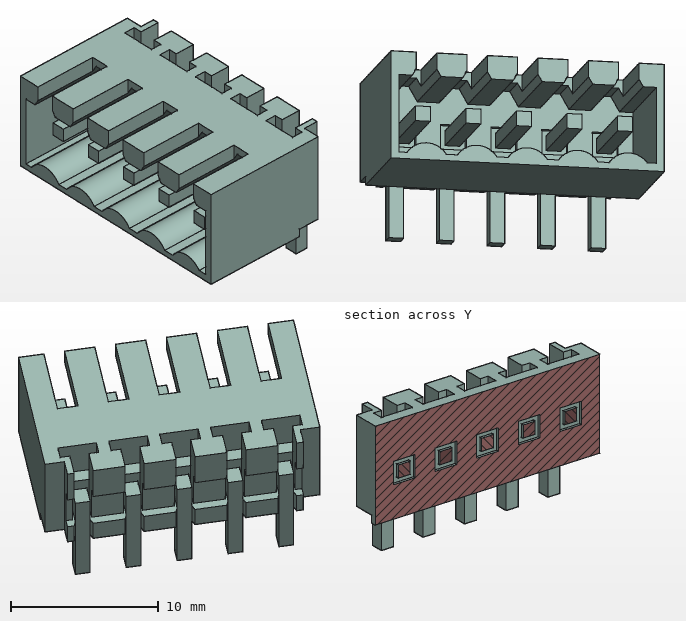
import cadquery as cq


PIN_COUNT = 5
PITCH = 3.5
PIN_CENTRES = [(i - (PIN_COUNT - 1) / 2) * PITCH for i in range(PIN_COUNT)]

WIDTH = 18.9
DEPTH = 11.05
HEIGHT = 7.45
REAR_STEP_DEPTH = 2.87
REAR_STEP_HEIGHT = 0.6
REAR_CORNER_WIDTH = 1.35
REAR_CORNER_DEPTH = 1.15

SIDE_WALL = 0.55
FLOOR = 0.43
CEILING = 5.82
CAVITY_DEPTH = 7.56
END_FLOOR_RISE = 0.11
BUMP_WIDTH = 2.72
BUMP_HEIGHT = 0.74
KEYWAY_TOP = 6.86
KEYWAY_TOP_WIDTH = 0.77
KEYWAY_BOTTOM_WIDTH = 1.98
KEY_SLOT_WIDTH = 1.42
KEY_SLOT_LENGTH = 5.07
RECESS_WIDTH = 1.78
RECESS_HEIGHT = 1.72
RECESS_DEPTH = 0.38

PIN_SIZE = 1.02
PIN_TOP = 3.99
PIN_FRONT = 1.21
PIN_BACK = DEPTH - 0.35
LEG_LENGTH = 3.2
PIN_AXIS = PIN_TOP - PIN_SIZE / 2
LEG_FRONT = PIN_BACK - PIN_SIZE

REAR_GROOVE_BOTTOM = 2.14
REAR_GROOVE_TOP = 4.84
REAR_GROOVE_DEPTH = 0.57
REAR_SLOT_WIDTH = 1.3
REAR_SLOT_DEPTH = 1.59
CROSS_SLOT_WIDTH = 2.65
CROSS_SLOT_LENGTH = 0.87


def box(x_centre, x_size, y_min, y_max, z_min, z_max):
    """Block centred on x_centre that fills the given Y and Z ranges."""
    size_y = y_max - y_min
    size_z = z_max - z_min
    block = cq.Workplane("XY").box(x_size, size_y, size_z, centered=(True, False, False))
    return block.translate((x_centre, y_min, z_min))


def make_shell():
    """Outer block with the stepped underside and the cut-away rear corners."""
    shell = box(0, WIDTH, 0, DEPTH, 0, HEIGHT)
    shell = shell.cut(box(0, WIDTH, DEPTH - REAR_STEP_DEPTH, DEPTH, 0, REAR_STEP_HEIGHT))
    corner_x = (WIDTH - REAR_CORNER_WIDTH) / 2
    for side in (-1, 1):
        shell = shell.cut(
            box(side * corner_x, REAR_CORNER_WIDTH, DEPTH - REAR_CORNER_DEPTH, DEPTH, 0, HEIGHT)
        )
    groove_front = DEPTH - REAR_GROOVE_DEPTH
    return shell.cut(box(0, WIDTH, groove_front, DEPTH, REAR_GROOVE_BOTTOM, REAR_GROOVE_TOP))


def floor_bump(x):
    """Rounded rib along the cavity floor under one pin."""
    return (
        cq.Workplane("XZ")
        .moveTo(x - BUMP_WIDTH / 2, FLOOR)
        .threePointArc((x, FLOOR + BUMP_HEIGHT), (x + BUMP_WIDTH / 2, FLOOR))
        .close()
        .extrude(-CAVITY_DEPTH)
    )


def end_floor_strip():
    """Slightly raised strip of floor between the last bump and the +X side wall."""
    x_min = PIN_CENTRES[-1]
    x_max = WIDTH / 2 - SIDE_WALL
    x_centre = (x_min + x_max) / 2
    return box(x_centre, x_max - x_min, 0, CAVITY_DEPTH, FLOOR, FLOOR + END_FLOOR_RISE)


def keyway(x):
    """Tapered groove in the cavity roof above one pin."""
    return (
        cq.Workplane("XZ")
        .moveTo(x - KEYWAY_BOTTOM_WIDTH / 2, CEILING)
        .lineTo(x - KEYWAY_TOP_WIDTH / 2, KEYWAY_TOP)
        .lineTo(x + KEYWAY_TOP_WIDTH / 2, KEYWAY_TOP)
        .lineTo(x + KEYWAY_BOTTOM_WIDTH / 2, CEILING)
        .close()
        .extrude(-CAVITY_DEPTH)
    )


def make_cavity():
    """Space that receives the plug, with its keyways, roof slots and pin recesses."""
    cavity = box(0, WIDTH - 2 * SIDE_WALL, 0, CAVITY_DEPTH, FLOOR, CEILING)
    cavity = cavity.cut(end_floor_strip())
    for x in PIN_CENTRES:
        cavity = cavity.cut(floor_bump(x)).union(keyway(x))
        cavity = cavity.union(box(x, KEY_SLOT_WIDTH, 0, KEY_SLOT_LENGTH, CEILING, HEIGHT))
        recess_bottom = PIN_AXIS - RECESS_HEIGHT / 2
        cavity = cavity.union(
            box(
                x, RECESS_WIDTH,
                CAVITY_DEPTH, CAVITY_DEPTH + RECESS_DEPTH,
                recess_bottom, recess_bottom + RECESS_HEIGHT,
            )
        )
    return cavity


def rear_opening(x):
    """T-shaped pocket at the back over one pin, and the flared slot that guides its leg."""
    slot_front = DEPTH - REAR_SLOT_DEPTH
    slot = box(x, REAR_SLOT_WIDTH, slot_front, DEPTH, REAR_GROOVE_BOTTOM, HEIGHT)
    cross_slot = box(
        x, CROSS_SLOT_WIDTH, slot_front - CROSS_SLOT_LENGTH, slot_front, REAR_GROOVE_TOP, HEIGHT
    )
    leg_slot = (
        cq.Workplane("XY")
        .moveTo(x - PIN_SIZE / 2, LEG_FRONT)
        .lineTo(x - PIN_SIZE / 2, PIN_BACK)
        .lineTo(x - REAR_SLOT_WIDTH / 2, DEPTH)
        .lineTo(x + REAR_SLOT_WIDTH / 2, DEPTH)
        .lineTo(x + PIN_SIZE / 2, PIN_BACK)
        .lineTo(x + PIN_SIZE / 2, LEG_FRONT)
        .close()
        .extrude(REAR_GROOVE_BOTTOM)
    )
    return slot.union(cross_slot).union(leg_slot)


def make_pin(x):
    """Square bent pin: a contact along Y and a solder leg down its back end."""
    contact = box(x, PIN_SIZE, PIN_FRONT, PIN_BACK, PIN_TOP - PIN_SIZE, PIN_TOP)
    leg = box(x, PIN_SIZE, LEG_FRONT, PIN_BACK, -LEG_LENGTH, PIN_TOP)
    return contact.union(leg)


def make_housing():
    """Housing with its cavity, rear openings and a fitting hole for each pin."""
    housing = make_shell().cut(make_cavity())
    for x in PIN_CENTRES:
        housing = housing.cut(rear_opening(x)).cut(make_pin(x))
    return housing


housing = make_housing()
pins = [make_pin(x).val() for x in PIN_CENTRES]

result = cq.Compound.makeCompound([housing.val(), *pins])